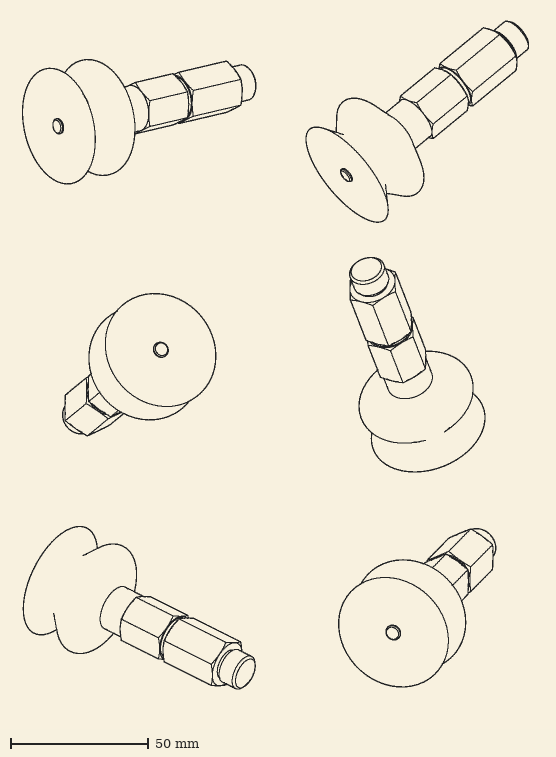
import cadquery as cq
import math

total_length = 87.9
pin_protrusion = 1.0
pin_diameter = 5.6
pin_chamfer = 0.4

lip_diameter = 43.0
lip_radius = lip_diameter / 2
waist_start = 6.3
waist_length = 1.3
waist_edge_radius = 13.7
waist_depth = 0.3
bulge_radius = lip_radius
bulge_round = 3.0
bulge_center = 17.0
upper_cone_angle = 28.0
lower_cone_angle = 45.0
shoulder = 25.6

across_flats = 17.05
neck_diameter = 17.0
hex_chamfer = 0.5
lower_hex_start = 35.0
lower_hex_length = 18.55
upper_hex_length = 23.2
groove_length = 1.6
groove_diameter = 16.0
undercut_length = 1.6
undercut_diameter = 11.4
thread_diameter = 13.2
thread_chamfer = 0.9

flat_radius = across_flats / 2
neck_radius = neck_diameter / 2
corner_diameter = across_flats / math.cos(math.radians(30))
groove_start = lower_hex_start + lower_hex_length
upper_hex_start = groove_start + groove_length
undercut_start = upper_hex_start + upper_hex_length
thread_start = undercut_start + undercut_length
thread_end = total_length - pin_protrusion


def cylinder(diameter, start, end):
    """Round section along +Y between two stations."""
    base = cq.Workplane("XZ", origin=(0, start, 0))
    return base.circle(diameter / 2).extrude(start - end)


def hex_section(start, length):
    """Hexagon with flats facing +X and -X and conically chamfered corners."""
    end = start + length
    corner_radius = corner_diameter / 2
    prism = (
        cq.Workplane("XZ", origin=(0, start, 0))
        .transformed(rotate=(0, 0, 30))
        .polygon(6, corner_diameter)
        .extrude(-length)
    )
    envelope = (
        cq.Workplane("XY")
        .moveTo(0, start)
        .lineTo(flat_radius, start)
        .lineTo(corner_radius, start + hex_chamfer)
        .lineTo(corner_radius, end - hex_chamfer)
        .lineTo(flat_radius, end)
        .lineTo(0, end)
        .close()
        .revolve(360, (0, 0, 0), (0, 1, 0))
    )
    return prism.intersect(envelope)


def bulge_tangent(angle_from_axis, side):
    """Point where a cone leaves the bulge; side is +1 above and -1 below."""
    angle = math.radians(angle_from_axis)
    radius = bulge_radius - bulge_round + bulge_round * math.sin(angle)
    return radius, bulge_center + side * bulge_round * math.cos(angle)


def bellows():
    """Solid of revolution from the lip up to the lower hexagon."""
    waist_end = waist_start + waist_length
    waist_middle = (waist_edge_radius - waist_depth, waist_start + waist_length / 2)
    return (
        cq.Workplane("XY")
        .lineTo(lip_radius, 0)
        .lineTo(waist_edge_radius, waist_start)
        .threePointArc(waist_middle, (waist_edge_radius, waist_end))
        .lineTo(*bulge_tangent(lower_cone_angle, -1))
        .threePointArc((bulge_radius, bulge_center), bulge_tangent(upper_cone_angle, 1))
        .lineTo(neck_radius, shoulder)
        .lineTo(neck_radius, lower_hex_start)
        .lineTo(0, lower_hex_start)
        .close()
        .revolve(360, (0, 0, 0), (0, 1, 0))
    )


pin = cylinder(pin_diameter, -pin_protrusion, 0).faces("<Y").chamfer(pin_chamfer)
thread = cylinder(thread_diameter, thread_start, thread_end).faces(">Y").chamfer(thread_chamfer)

result = (
    bellows()
    .union(pin)
    .union(hex_section(lower_hex_start, lower_hex_length))
    .union(cylinder(groove_diameter, groove_start, upper_hex_start))
    .union(hex_section(upper_hex_start, upper_hex_length))
    .union(cylinder(undercut_diameter, undercut_start, thread_start))
    .union(thread)
)